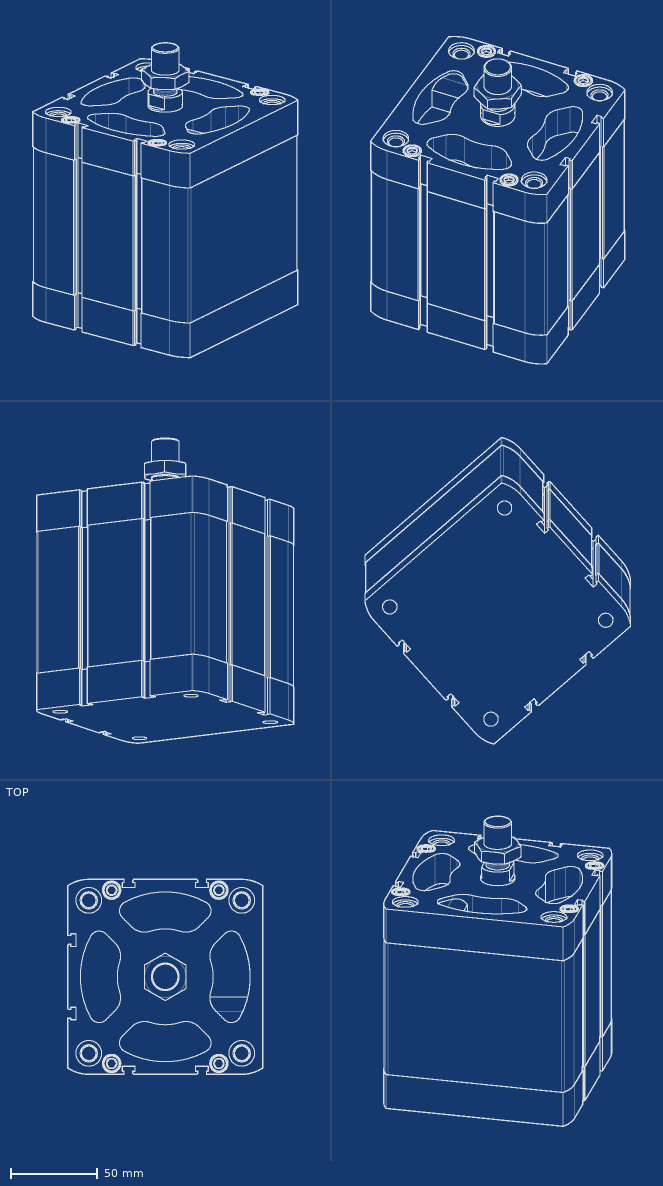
import cadquery as cq
import math

cap_side = 113.5
cap_height = 21.6
housing_height = 127.5
barrel_inset = 0.2
corner_arc_start = 44.5
corner_arc_radius = 22.1
cap_corner_edge = 0.7
barrel_corner_edge = 2.0

slot_offset = 21.3
slot_width = 7.2
slot_mouth_near = 19.0
slot_mouth_far = 24.0
slot_mouth_chamfer = 0.7
slot_depth = 4.8
slot_lip = 1.8

mount_offset = 44.5
mount_diameter = 8.4
mount_countersink_diameter = 10.0
mount_counterbore_diameter = 15.0
mount_counterbore_depth = 2.1

screw_offset_x = 31.2
screw_offset_y = 50.3
screw_pocket_diameter = 10.7
screw_head_diameter = 10.0
screw_head_chamfer = 0.7
screw_head_height = 5.0
socket_across_flats = 5.1
socket_chamfer_diameter = 6.0
socket_depth = 2.5
socket_tip_depth = 0.8

pocket_depth = 19.2
pocket_inner_radius = 27.9
pocket_outer_radius = 49.4
rib_width = 13.5
pocket_outer_fillet = 5.5
pocket_inner_fillet = 10.7

port_flat_edge = -20.0
port_side_edge = -11.8
port_radius = 10.0
port_top_below_cap = 2.3

rod_top = 164.0
rod_diameter = 20.0
rod_collar_height = 8.7
wrench_flat_width = 16.7
wrench_flat_base = 1.6
wrench_flat_drop = 0.7
thread_diameter = 16.0
thread_end_chamfer = 0.7
thread_start = 141.5
relief_shoulder_diameter = 13.8
relief_diameter = 13.5
relief_shoulder = 139.0
relief_top = 138.4
relief_bottom = 137.3

nut_across_flats = 24.0
nut_thickness = 7.5
nut_base = 142.2
nut_corner_drop = 0.5

half_side = cap_side / 2
barrel_half_side = half_side - barrel_inset
barrel_height = housing_height - 2 * cap_height
mount_points = [(sx * mount_offset, sy * mount_offset) for sx in (-1, 1) for sy in (-1, 1)]
screw_points = [(sx * screw_offset_x, sy * screw_offset_y) for sx in (-1, 1) for sy in (-1, 1)]


def rounded_block(half, height, base, corner_edge):
    """Square block whose corners are cut by arcs tangent to its Y sides."""
    arc_center_y = half - corner_arc_radius
    arc_end_y = arc_center_y + math.sqrt(corner_arc_radius**2 - (half - corner_arc_start) ** 2)
    mid_angle = 0.5 * math.asin((half - corner_arc_start) / corner_arc_radius)
    mid_x = corner_arc_start + corner_arc_radius * math.sin(mid_angle)
    mid_y = arc_center_y + corner_arc_radius * math.cos(mid_angle)
    block = (
        cq.Workplane("XY", origin=(0, 0, base))
        .moveTo(-corner_arc_start, half)
        .lineTo(corner_arc_start, half)
        .threePointArc((mid_x, mid_y), (half, arc_end_y))
        .lineTo(half, -arc_end_y)
        .threePointArc((mid_x, -mid_y), (corner_arc_start, -half))
        .lineTo(-corner_arc_start, -half)
        .threePointArc((-mid_x, -mid_y), (-half, -arc_end_y))
        .lineTo(-half, arc_end_y)
        .threePointArc((-mid_x, mid_y), (-corner_arc_start, half))
        .close()
        .extrude(height)
    )
    return block.edges("|Z and (>X or <X)").fillet(corner_edge)


def t_slots(half, height, base, far_chamfer):
    """Cutters for the T-slot pairs on the -Y, +Y and -X sides of one block."""
    near_wall = slot_offset - slot_width / 2
    far_wall = slot_offset + slot_width / 2
    slot = (
        cq.Workplane("XY", origin=(0, 0, base))
        .polyline([
            (slot_mouth_near - slot_mouth_chamfer, -half),
            (slot_mouth_near, -half + slot_mouth_chamfer),
            (slot_mouth_near, -half + slot_lip),
            (near_wall, -half + slot_lip),
            (near_wall, -half + slot_depth),
            (far_wall, -half + slot_depth),
            (far_wall, -half + slot_lip),
            (slot_mouth_far, -half + slot_lip),
            (slot_mouth_far, -half + slot_mouth_chamfer),
            (slot_mouth_far + far_chamfer, -half),
        ])
        .close()
        .extrude(height)
    )
    pair = slot.union(slot.mirror("YZ"))
    return [pair.rotate((0, 0, 0), (0, 0, 1), turn) for turn in (0, 180, -90)]


def slotted_block(half, height, base, corner_edge, far_chamfer):
    """One rounded block of the housing with its T-slots."""
    block = rounded_block(half, height, base, corner_edge)
    for slots in t_slots(half, height, base, far_chamfer):
        block = block.cut(slots)
    return block


def pocket(turn):
    """Pocket cutter between two diagonal ribs, turned around Z from the +X side."""
    reach = 2 * pocket_outer_radius
    rib_start = rib_width / math.sqrt(2)
    wedge = (
        cq.Workplane("XY", origin=(0, 0, housing_height - pocket_depth))
        .polyline([(rib_start, 0), (rib_start + reach, reach), (rib_start + reach, -reach)])
        .close()
        .extrude(pocket_depth)
    )
    ring = (
        cq.Workplane("XY", origin=(0, 0, housing_height - pocket_depth))
        .circle(pocket_outer_radius)
        .circle(pocket_inner_radius)
        .extrude(pocket_depth)
    )
    sector = wedge.intersect(ring)
    middle = (pocket_inner_radius + pocket_outer_radius) / 2
    inner_corners = cq.selectors.BoxSelector((0, -reach, 0), (pocket_inner_radius, reach, rod_top))
    outer_corners = cq.selectors.BoxSelector((middle, -reach, 0), (reach, reach, rod_top))
    sector = sector.edges("|Z").edges(inner_corners).fillet(pocket_inner_fillet)
    sector = sector.edges("|Z").edges(outer_corners).fillet(pocket_outer_fillet)
    return sector.rotate((0, 0, 0), (0, 0, 1), turn)


def port_step():
    """Filling of one end of the +X pocket: a level top that rounds down to an upright face."""
    floor = housing_height - pocket_depth
    top = housing_height - port_top_below_cap
    width = port_side_edge - port_flat_edge
    drop = port_radius - math.sqrt(port_radius**2 - width**2)
    half_angle = 0.5 * math.asin(width / port_radius)
    mid_y = port_flat_edge + port_radius * math.sin(half_angle)
    mid_z = top - port_radius * (1 - math.cos(half_angle))
    step = (
        cq.Workplane("YZ")
        .moveTo(-half_side, floor)
        .lineTo(-half_side, top)
        .lineTo(port_flat_edge, top)
        .threePointArc((mid_y, mid_z), (port_side_edge, top - drop))
        .lineTo(port_side_edge, floor)
        .close()
        .extrude(half_side)
    )
    return step.intersect(pocket(0))


def mount_holes():
    """Cutters for the corner holes: through hole, short countersink and counterbore."""
    seat = housing_height - mount_counterbore_depth
    countersink_depth = (mount_countersink_diameter - mount_diameter) / 2
    profile = (
        cq.Workplane("XZ")
        .polyline([
            (0, 0),
            (mount_diameter / 2, 0),
            (mount_diameter / 2, seat - countersink_depth),
            (mount_countersink_diameter / 2, seat),
            (mount_counterbore_diameter / 2, seat),
            (mount_counterbore_diameter / 2, housing_height),
            (0, housing_height),
        ])
        .close()
    )
    hole = profile.revolve(360, (0, 0, 0), (0, 1, 0))
    return [hole.translate((x, y, 0)) for x, y in mount_points]


def screw_pocket(x, y):
    """Round clearance around one screw head."""
    return (
        cq.Workplane("XY", origin=(x, y, housing_height))
        .circle(screw_pocket_diameter / 2)
        .extrude(-screw_head_height)
    )


def screw_head(x, y):
    """Chamfered screw head with a hexagon socket that ends in a shallow cone."""
    socket_corner_diameter = socket_across_flats / math.cos(math.pi / 6)
    socket_bottom = -socket_depth
    head = (
        cq.Workplane("XY", origin=(0, 0, -screw_head_height))
        .circle(screw_head_diameter / 2)
        .extrude(screw_head_height)
        .faces(">Z")
        .chamfer(screw_head_chamfer)
    )
    socket = cq.Workplane("XY").polygon(6, socket_corner_diameter).extrude(socket_bottom)
    lead_in_radius = socket_chamfer_diameter / 2
    tip_radius = socket_across_flats / 2
    down = cq.Vector(0, 0, -1)
    lead_in = cq.Solid.makeCone(lead_in_radius, 0, lead_in_radius, cq.Vector(0, 0, 0), down)
    tip = cq.Solid.makeCone(tip_radius, 0, socket_tip_depth, cq.Vector(0, 0, socket_bottom), down)
    return head.cut(socket).cut(lead_in).cut(tip).translate((x, y, housing_height))


def rod_bore():
    """Hole in the top cap that holds the piston rod."""
    return (
        cq.Workplane("XY", origin=(0, 0, housing_height - cap_height))
        .circle(rod_diameter / 2)
        .extrude(cap_height)
    )


def make_housing():
    """Cylinder body: two caps and a barrel with slots, pockets, corner holes and cap screws."""
    bottom_cap = slotted_block(half_side, cap_height, 0, cap_corner_edge, 0)
    barrel = slotted_block(
        barrel_half_side, barrel_height, cap_height, barrel_corner_edge, slot_mouth_chamfer)
    top_cap = slotted_block(half_side, cap_height, cap_height + barrel_height, cap_corner_edge, 0)
    body = bottom_cap.union(barrel).union(top_cap)
    for turn in (0, 90, 180, 270):
        body = body.cut(pocket(turn))
    body = body.union(port_step())
    for hole in mount_holes():
        body = body.cut(hole)
    for x, y in screw_points:
        body = body.cut(screw_pocket(x, y)).union(screw_head(x, y))
    return body.cut(rod_bore())


def make_rod():
    """Piston rod: collar with two wrench flats, thread relief and threaded end."""
    rod_base = housing_height - cap_height
    collar_top = housing_height + rod_collar_height
    flat_base = housing_height + wrench_flat_base
    profile = (
        cq.Workplane("XZ")
        .polyline([
            (0, rod_base),
            (rod_diameter / 2, rod_base),
            (rod_diameter / 2, collar_top),
            (relief_shoulder_diameter / 2, collar_top),
            (relief_diameter / 2, relief_bottom),
            (relief_diameter / 2, relief_top),
            (relief_shoulder_diameter / 2, relief_shoulder),
            (thread_diameter / 2, thread_start),
            (thread_diameter / 2, rod_top - thread_end_chamfer),
            (thread_diameter / 2 - thread_end_chamfer, rod_top),
            (0, rod_top),
        ])
        .close()
    )
    rod = profile.revolve(360, (0, 0, 0), (0, 1, 0))
    wrench_cut = (
        cq.Workplane("YZ")
        .polyline([
            (wrench_flat_width / 2, collar_top),
            (wrench_flat_width / 2, flat_base),
            (rod_diameter / 2, flat_base - wrench_flat_drop),
            (rod_diameter / 2, collar_top),
        ])
        .close()
        .extrude(rod_diameter / 2, both=True)
    )
    return rod.cut(wrench_cut).cut(wrench_cut.mirror("XZ"))


def make_nut():
    """Hexagon lock nut with a corner on +Y, its corners turned down conically at both ends."""
    corner_radius = nut_across_flats / 2 / math.cos(math.pi / 6)
    flat_radius = nut_across_flats / 2
    nut_top = nut_base + nut_thickness
    hexagon = (
        cq.Workplane("XY", origin=(0, 0, nut_base))
        .polygon(6, 2 * corner_radius)
        .extrude(nut_thickness)
        .rotate((0, 0, 0), (0, 0, 1), 30)
    )
    turned = (
        cq.Workplane("XZ")
        .polyline([
            (thread_diameter / 2, nut_base),
            (flat_radius, nut_base),
            (corner_radius, nut_base + nut_corner_drop),
            (corner_radius, nut_top - nut_corner_drop),
            (flat_radius, nut_top),
            (thread_diameter / 2, nut_top),
        ])
        .close()
        .revolve(360, (0, 0, 0), (0, 1, 0))
    )
    return hexagon.intersect(turned)


housing = make_housing()
rod = make_rod()
nut = make_nut()

result = cq.Compound.makeCompound([housing.val(), rod.val(), nut.val()])